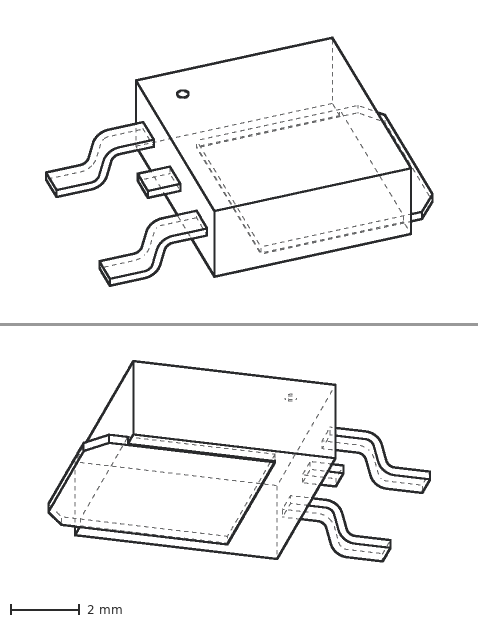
import cadquery as cq
import math

TOTAL_LENGTH = 10.24
TOTAL_HEIGHT = 2.44
BACK_Y = TOTAL_LENGTH / 2
LEAD_TIP_Y = -TOTAL_LENGTH / 2

TAB_LENGTH = 5.57
TAB_THICKNESS = 0.27
TAB_STANDOFF = 0.04
TAB_OVERHANG = 1.15
TAB_CHAMFER_X = 0.7
TAB_CHAMFER_Y = 0.58

HOUSING_WIDTH = 6.73
LEAD_REACH = 3.01
HOUSING_HEIGHT = TOTAL_HEIGHT - TAB_STANDOFF
HOUSING_BACK_Y = BACK_Y - TAB_OVERHANG
HOUSING_FRONT_Y = LEAD_TIP_Y + LEAD_REACH
HOUSING_LENGTH = HOUSING_BACK_Y - HOUSING_FRONT_Y

LEAD_WIDTH = 0.91
LEAD_THICKNESS = 0.26
LEAD_OFFSET_X = 2.28
LEAD_TOP_Z = 1.32
LEAD_SHOULDER = 1.06
BEND_ANGLE = math.radians(75)
BEND_INNER_RADIUS = 0.26
BEND_OUTER_RADIUS = BEND_INNER_RADIUS + LEAD_THICKNESS

STUB_WIDTH = 0.89
STUB_LENGTH = 1.0

TAB_WIDTH = 2 * LEAD_OFFSET_X + LEAD_WIDTH

MARKER_DIAMETER = 0.34
MARKER_DEPTH = 0.05
MARKER_INSET_Y = 1.06


def make_tab():
    """Flat plate with its two back corners cut off."""
    half_width = TAB_WIDTH / 2
    front_y = BACK_Y - TAB_LENGTH
    outline = [
        (-half_width, front_y),
        (half_width, front_y),
        (half_width, BACK_Y - TAB_CHAMFER_Y),
        (half_width - TAB_CHAMFER_X, BACK_Y),
        (TAB_CHAMFER_X - half_width, BACK_Y),
        (-half_width, BACK_Y - TAB_CHAMFER_Y),
    ]
    plate = cq.Workplane("XY").workplane(offset=-TAB_STANDOFF)
    return plate.polyline(outline).close().extrude(TAB_THICKNESS)


def make_marker():
    """Thin disc in line with one outer lead."""
    return (
        cq.Workplane("XY")
        .workplane(offset=HOUSING_HEIGHT - MARKER_DEPTH)
        .center(-LEAD_OFFSET_X, HOUSING_FRONT_Y + MARKER_INSET_Y)
        .circle(MARKER_DIAMETER / 2)
        .extrude(MARKER_DEPTH)
    )


def make_housing(tab, marker):
    """Block with recesses that match the tab and the marker."""
    block = (
        cq.Workplane("XY")
        .center(0, (HOUSING_FRONT_Y + HOUSING_BACK_Y) / 2)
        .rect(HOUSING_WIDTH, HOUSING_LENGTH)
        .extrude(HOUSING_HEIGHT)
    )
    return block.cut(tab).cut(marker)


def bend_point(center, radius, angle):
    """Point on a bend, with the angle measured from +Z toward -Y."""
    return (center[0] - radius * math.sin(angle), center[1] + radius * math.cos(angle))


def make_lead(center_x):
    """Gull-wing lead: shoulder, two opposite bends joined by a sloped leg, and a foot."""
    radius_sum = BEND_INNER_RADIUS + BEND_OUTER_RADIUS
    drop = LEAD_TOP_Z - LEAD_THICKNESS
    leg_length = (drop - radius_sum * (1 - math.cos(BEND_ANGLE))) / math.sin(BEND_ANGLE)
    bend_run = radius_sum * math.sin(BEND_ANGLE) + leg_length * math.cos(BEND_ANGLE)

    shoulder_y = HOUSING_FRONT_Y - LEAD_SHOULDER
    foot_y = shoulder_y - bend_run
    upper = (shoulder_y, LEAD_TOP_Z - BEND_OUTER_RADIUS)
    lower = (foot_y, BEND_OUTER_RADIUS)
    half_angle = BEND_ANGLE / 2

    return (
        cq.Workplane("YZ")
        .workplane(offset=center_x - LEAD_WIDTH / 2)
        .moveTo(HOUSING_FRONT_Y, LEAD_TOP_Z)
        .lineTo(shoulder_y, LEAD_TOP_Z)
        .threePointArc(
            bend_point(upper, BEND_OUTER_RADIUS, half_angle),
            bend_point(upper, BEND_OUTER_RADIUS, BEND_ANGLE),
        )
        .lineTo(*bend_point(lower, BEND_INNER_RADIUS, math.pi + BEND_ANGLE))
        .threePointArc(
            bend_point(lower, BEND_INNER_RADIUS, math.pi + half_angle),
            (foot_y, LEAD_THICKNESS),
        )
        .lineTo(LEAD_TIP_Y, LEAD_THICKNESS)
        .lineTo(LEAD_TIP_Y, 0)
        .lineTo(foot_y, 0)
        .threePointArc(
            bend_point(lower, BEND_OUTER_RADIUS, math.pi + half_angle),
            bend_point(lower, BEND_OUTER_RADIUS, math.pi + BEND_ANGLE),
        )
        .lineTo(*bend_point(upper, BEND_INNER_RADIUS, BEND_ANGLE))
        .threePointArc(
            bend_point(upper, BEND_INNER_RADIUS, half_angle),
            (shoulder_y, LEAD_TOP_Z - LEAD_THICKNESS),
        )
        .lineTo(HOUSING_FRONT_Y, LEAD_TOP_Z - LEAD_THICKNESS)
        .close()
        .extrude(LEAD_WIDTH)
    )


def make_stub():
    """Short straight centre lead, level with the shoulders of the outer leads."""
    return (
        cq.Workplane("XY")
        .workplane(offset=LEAD_TOP_Z - LEAD_THICKNESS)
        .center(0, HOUSING_FRONT_Y - STUB_LENGTH / 2)
        .rect(STUB_WIDTH, STUB_LENGTH)
        .extrude(LEAD_THICKNESS)
    )


tab = make_tab()
marker = make_marker()
housing = make_housing(tab, marker)
stub = make_stub()
leads = [make_lead(side * LEAD_OFFSET_X) for side in (-1, 1)]

result = cq.Compound.makeCompound(
    [housing.val(), tab.val(), marker.val(), stub.val(), *[lead.val() for lead in leads]]
)